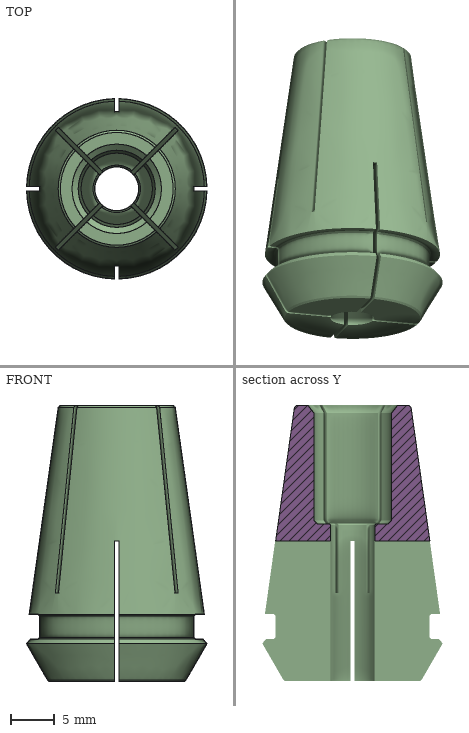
import cadquery as cq
import math

total_height = 31.5
edge_break = 0.2

flange_radius = 10.3
flange_edge_z = 4.3
flange_taper = math.radians(30)
flange_top_z = 4.8
flange_top_radius = 9.85

groove_radius = 8.8
groove_top_z = 7.65

cone_base_radius = 10.0
cone_taper = math.radians(8)
cone_top_chamfer = 0.25

bore_radius = 2.5
relief_radius = 4.4
relief_floor_z = 18.0
relief_floor_chamfer = 0.33
relief_mouth_radius = 5.1
relief_mouth_depth = 0.9

slot_width = 0.5
lower_slot_top_z = 16.0
upper_slot_floor_z = 10.05
slot_length = 3 * flange_radius


def cone_radius(z):
    """Radius of the collet cone at height z."""
    return cone_base_radius - (z - groove_top_z) * math.tan(cone_taper)


def flange_cone_radius(z):
    """Radius of the lower flange cone at height z."""
    return flange_radius - (flange_edge_z - z) * math.tan(flange_taper)


def make_body():
    """Revolve the half section, with the stepped bore, about Z."""
    chamfer_z = total_height - cone_top_chamfer
    outside = [
        (flange_cone_radius(edge_break) - edge_break, 0),
        (flange_cone_radius(edge_break), edge_break),
        (flange_radius, flange_edge_z),
        (flange_top_radius, flange_top_z),
        (groove_radius + edge_break, flange_top_z),
        (groove_radius, flange_top_z + edge_break),
        (groove_radius, groove_top_z - edge_break),
        (groove_radius + edge_break, groove_top_z),
        (cone_base_radius, groove_top_z),
        (cone_radius(chamfer_z), chamfer_z),
        (cone_radius(chamfer_z) - cone_top_chamfer, total_height),
    ]
    inside = [
        (relief_mouth_radius, total_height),
        (relief_radius, total_height - relief_mouth_depth),
        (relief_radius, relief_floor_z + relief_floor_chamfer),
        (relief_radius - relief_floor_chamfer, relief_floor_z),
        (bore_radius + edge_break, relief_floor_z),
        (bore_radius, relief_floor_z - edge_break),
        (bore_radius, 0),
    ]
    return cq.Workplane("XZ").polyline(outside + inside).close().revolve(360, (0, 0), (0, 1))


def crossed_slots(bottom_z, top_z, first_angle):
    """Two slots crossing at right angles on the axis, between two heights."""
    bar = (
        cq.Workplane("XY")
        .workplane(offset=bottom_z)
        .rect(slot_length, slot_width)
        .extrude(top_z - bottom_z)
        .rotate((0, 0, 0), (0, 0, 1), first_angle)
    )
    return bar.union(bar.rotate((0, 0, 0), (0, 0, 1), 90))


lower_slots = crossed_slots(0, lower_slot_top_z, 0)
upper_slots = crossed_slots(upper_slot_floor_z, total_height, 45)

result = make_body().cut(lower_slots).cut(upper_slots)